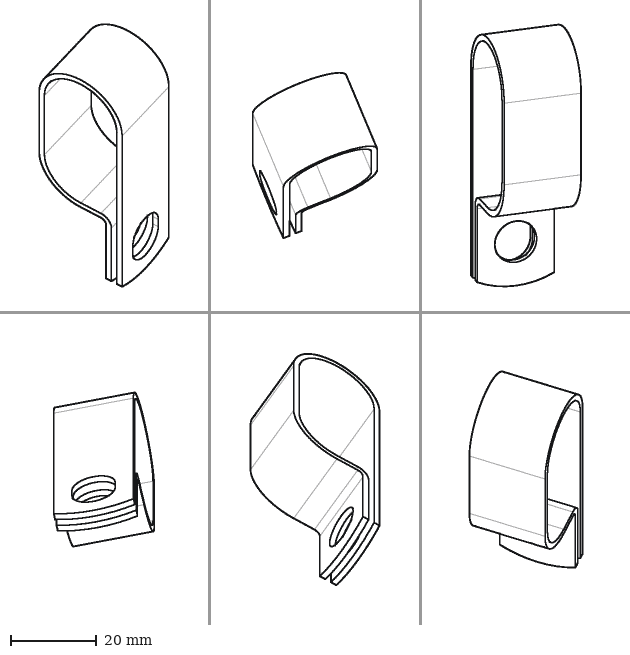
import cadquery as cq

height = 66.6
loop_width = 23.7
strap_width = 19.05
thickness = 1.5
tab_gap = 1.5
loop_bottom = 22.3
bend_inner_radius = 1.5
hole_diameter = 10.3
slot_length = 12.85
hole_height = 11.1
end_rise = 2.1

outer_radius = loop_width / 2
inner_radius = outer_radius - thickness
upper_center = height - outer_radius
lower_center = loop_bottom + outer_radius
loop_floor = loop_bottom + thickness
bend_outer_radius = bend_inner_radius + thickness
tab_inner = inner_radius - tab_gap
tab_outer = tab_inner - thickness
bend_x = tab_inner - bend_outer_radius
bend_z = loop_floor - bend_outer_radius


def make_strap():
    """Bent strip: long back leg, loop, and short front tab."""
    return (
        cq.Workplane("XZ")
        .moveTo(outer_radius, 0)
        .lineTo(outer_radius, upper_center)
        .threePointArc((0, height), (-outer_radius, upper_center))
        .lineTo(-outer_radius, lower_center)
        .radiusArc((0, loop_bottom), -outer_radius)
        .lineTo(bend_x, loop_bottom)
        .radiusArc((tab_outer, bend_z), bend_inner_radius)
        .lineTo(tab_outer, 0)
        .lineTo(tab_inner, 0)
        .lineTo(tab_inner, bend_z)
        .radiusArc((bend_x, loop_floor), -bend_outer_radius)
        .lineTo(0, loop_floor)
        .radiusArc((-inner_radius, lower_center), inner_radius)
        .lineTo(-inner_radius, upper_center)
        .threePointArc((0, height - thickness), (inner_radius, upper_center))
        .lineTo(inner_radius, 0)
        .close()
        .extrude(strap_width / 2, both=True)
    )


def make_end_envelope():
    """Block with an arched lower edge that rounds both tab ends."""
    half_width = strap_width / 2
    return (
        cq.Workplane("YZ")
        .moveTo(-half_width, end_rise)
        .threePointArc((0, 0), (half_width, end_rise))
        .lineTo(half_width, height)
        .lineTo(-half_width, height)
        .close()
        .extrude(outer_radius, both=True)
    )


def make_bolt_hole():
    """Round hole through the front tab."""
    return (
        cq.Workplane("YZ", origin=(tab_outer, 0, hole_height))
        .circle(hole_diameter / 2)
        .extrude(thickness)
    )


def make_back_slot():
    """Upright round-ended slot through the back leg, centred on the bolt hole."""
    return (
        cq.Workplane("YZ", origin=(inner_radius, 0, hole_height))
        .slot2D(slot_length, hole_diameter, 90)
        .extrude(thickness)
    )


result = (
    make_strap()
    .intersect(make_end_envelope())
    .cut(make_bolt_hole())
    .cut(make_back_slot())
)